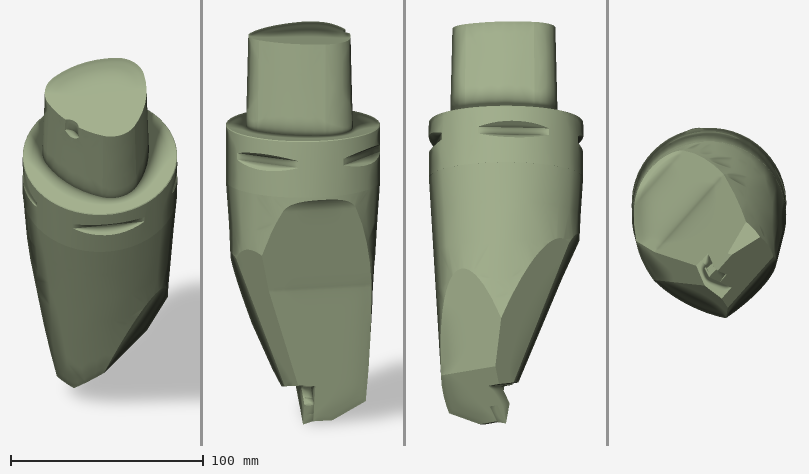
import cadquery as cq
import math


flange_diameter = 80.12
flange_height = 30.0
flange_chamfer = 0.4

slot_count = 4
slot_first_angle = 45.0
slot_depth_z = 12.4
slot_floor_distance = 35.5
slot_floor_width = 3.5
slot_flank_angle = 30.0
slot_overshoot = 1.0

shank_length = 48.0
shank_taper = math.degrees(math.atan(1 / 40))
lobe_tip = 30.0
lobe_radius = 15.45
side_distance = 25.15
lobe_angles = (90.0, 210.0, 330.0)

notch_radius = 5.7
notch_depth = 8.2
notch_inner_y = -21.75
notch_tip_height = notch_radius

tool_length = 160.0
head_top_diameter = 80.0
head_taper = 3.4
head_bottom_z = -158.4
cutter_radius = 12.0

relief_bend = (-17.8, -83.7)
upper_relief_angle = 19.9
lower_relief_angle = 12.9

flank_top = (37.0, -83.3)
flank_bend = (22.2, -134.8)

gullet_top = (38.3, -65.7)
gullet_bottom = (7.4, -143.3)
bevel_points = ((-25.5, 28.7, -62.0), (-5.4, 3.9, -137.9), (4.5, 8.5, -140.5))
ledge_start = (-5.4, -137.9)
ledge_angle = lower_relief_angle

underside_points = ((-3.1, -33.0, -148.6), (8.5, -33.0, -151.2), (-0.7, -15.6, -158.4))

insert_edge = 11.6
insert_thickness = 5.3
insert_left_angle = 15.0
insert_right_angle = 40.0
insert_clearance = 7.0
seat_opening_top = -140.7

recess_depth = 0.4
recess_top = -142.6
recess_bottom = -154.5
recess_rim = 0.9
recess_corner_chamfer = 0.5

cut_size = 200.0


def make_shank():
    lobe_centre = lobe_tip - lobe_radius
    reach = side_distance + lobe_radius
    side_centre = ((reach - 2 * lobe_radius) ** 2 - lobe_centre ** 2) / (
        lobe_centre - 2 * (reach - 2 * lobe_radius)
    )
    side_radius = side_distance + side_centre

    def polar(distance, angle):
        turn = math.radians(angle)
        return (distance * math.cos(turn), distance * math.sin(turn))

    def seam(lobe_angle, direction):
        centre = polar(lobe_centre, lobe_angle)
        far_centre = polar(side_centre, lobe_angle + direction * 60 + 180)
        gap = math.dist(centre, far_centre)
        return tuple(f + (c - f) * side_radius / gap for c, f in zip(centre, far_centre))

    outline = cq.Workplane("XY").moveTo(*seam(lobe_angles[0], -1))
    for angle in lobe_angles:
        outline = outline.threePointArc(polar(lobe_tip, angle), seam(angle, 1))
        outline = outline.threePointArc(polar(side_distance, angle + 60), seam(angle + 120, -1))
    shank = outline.close().extrude(shank_length, taper=shank_taper)

    notch_y = notch_inner_y - notch_radius
    notch_floor = shank_length - notch_depth
    notch = (
        cq.Workplane("XZ", origin=(0, notch_y, 0))
        .moveTo(0, shank_length)
        .lineTo(notch_radius, shank_length)
        .lineTo(notch_radius, notch_floor)
        .lineTo(0, notch_floor - notch_tip_height)
        .close()
        .revolve(360, (0, 0, 0), (0, 1, 0))
    )
    return shank.cut(notch)


def make_flange():
    flange = (
        cq.Workplane("XY")
        .circle(flange_diameter / 2)
        .extrude(-flange_height)
        .faces(">Z")
        .edges()
        .chamfer(flange_chamfer)
    )
    slot_height = flange_diameter / 2 - slot_floor_distance + slot_overshoot
    floor_half = slot_floor_width / 2
    mouth_half = floor_half + slot_height * math.tan(math.radians(slot_flank_angle))
    mouth = slot_floor_distance + slot_height
    for index in range(slot_count):
        slot = (
            cq.Workplane("XZ")
            .polyline([
                (slot_floor_distance, floor_half - slot_depth_z),
                (mouth, mouth_half - slot_depth_z),
                (mouth, -mouth_half - slot_depth_z),
                (slot_floor_distance, -floor_half - slot_depth_z),
            ])
            .close()
            .extrude(flange_diameter / 2, both=True)
            .rotate((0, 0, 0), (0, 0, 1), slot_first_angle + index * 360 / slot_count)
        )
        flange = flange.cut(slot)
    return flange


def half_space(points, outward):
    """Block on the side of the plane through three points that `outward` leans to."""
    first, second, third = (cq.Vector(*p) for p in points)
    normal = (second - first).cross(third - first)
    if normal.dot(cq.Vector(*outward)) < 0:
        normal = normal * -1
    plane = cq.Plane(origin=first, normal=normal)
    return cq.Workplane(plane).rect(2 * cut_size, 2 * cut_size).extrude(cut_size)


def prism_along_y(points, start_y, end_y):
    return (
        cq.Workplane("XZ", origin=(0, end_y, 0)).polyline(points).close().extrude(end_y - start_y)
    )


def relief_x(angle, z):
    """X of a -X relief flat, which leans from vertical through the bend."""
    return relief_bend[0] + (relief_bend[1] - z) * math.tan(math.radians(angle))


def make_relief():
    top = (relief_x(upper_relief_angle, -flange_height), -flange_height)
    bottom = (relief_x(lower_relief_angle, -tool_length), -tool_length)
    relief = prism_along_y(
        [(-cut_size, -flange_height), top, relief_bend, bottom, (-cut_size, -tool_length)],
        -cut_size / 2,
        cut_size / 2,
    )
    for x, z in (top, relief_bend):
        corner = cq.selectors.NearestToPointSelector((x, 0, z))
        relief = relief.edges("|Y").edges(corner).fillet(cutter_radius)
    return relief


def make_flank_cut():
    return prism_along_y(
        [flank_top, flank_bend, (0, -tool_length), (cut_size, -tool_length), (cut_size, flank_top[1])],
        -cut_size / 2,
        cut_size / 2,
    )


def make_gullet():
    ledge_drop = math.tan(math.radians(ledge_angle))

    def ledge_z(x):
        return ledge_start[1] - (x - ledge_start[0]) * ledge_drop

    below_ledge = prism_along_y(
        [
            (-cut_size, ledge_z(-cut_size)),
            (cut_size, ledge_z(cut_size)),
            (cut_size, -2 * cut_size),
            (-cut_size, -2 * cut_size),
        ],
        0,
        cut_size,
    )
    top = (0, *gullet_top)
    bottom = (0, *gullet_bottom)
    slope = half_space((top, bottom, (1, *gullet_bottom)), (0, 1, 0))
    bevel = half_space(bevel_points, (-1, 1, 0))
    return slope.union(bevel).union(below_ledge)


def make_head():
    head_height = -flange_height - head_bottom_z
    head = (
        cq.Workplane("XY", origin=(0, 0, -flange_height))
        .circle(head_top_diameter / 2)
        .extrude(-head_height, taper=head_taper)
    )
    head = head.cut(make_relief()).cut(make_flank_cut()).cut(make_gullet())
    return head.cut(half_space(underside_points, (0, 0, -1)))


def insert_corners():
    """Tip, left, far and right corners of the rake face, as (x, z)."""
    left = math.radians(insert_left_angle)
    right = math.radians(insert_right_angle)
    left_step = (-insert_edge * math.sin(left), insert_edge * math.cos(left))
    right_step = (insert_edge * math.sin(right), insert_edge * math.cos(right))
    tip = (0, -tool_length)
    left_corner = (left_step[0], tip[1] + left_step[1])
    right_corner = (right_step[0], tip[1] + right_step[1])
    far_corner = (left_corner[0] + right_step[0], left_corner[1] + right_step[1])
    return tip, left_corner, far_corner, right_corner


def make_insert_blank(inset):
    rake_face = cq.Workplane("XZ").polyline(insert_corners()).close()
    if inset > 0:
        rake_face = rake_face.offset2D(-inset)
    return rake_face.extrude(insert_thickness, taper=insert_clearance)


def make_insert():
    core = make_insert_blank(recess_depth).edges("<X").chamfer(recess_corner_chamfer)
    recess = prism_along_y(
        [
            (-insert_edge, recess_bottom),
            (0, recess_bottom),
            (0, recess_top),
            (-insert_edge, recess_top),
        ],
        -insert_thickness,
        -recess_rim,
    ).cut(core)
    return make_insert_blank(0).cut(recess)


def make_seat():
    """Space the insert needs in the head, opened to the outside below and towards -X."""
    _, left_corner, far_corner, right_corner = insert_corners()
    along = (seat_opening_top - left_corner[1]) / (far_corner[1] - left_corner[1])
    inner = (left_corner[0] + along * (far_corner[0] - left_corner[0]), seat_opening_top)
    exit_rise = cut_size * math.tan(math.radians(ledge_angle))
    centre = ((left_corner[0] + right_corner[0]) / 2, (left_corner[1] + right_corner[1]) / 2)
    opening = prism_along_y(
        [
            (-cut_size, -cut_size),
            (inner[0] - cut_size, inner[1] + exit_rise),
            inner,
            centre,
            right_corner,
            (right_corner[0], -cut_size),
        ],
        -insert_thickness,
        0,
    )
    return make_insert_blank(0).union(opening)


insert = make_insert()
holder = make_flange().union(make_shank()).union(make_head()).cut(make_seat())

result = cq.Compound.makeCompound([holder.solids().val(), insert.solids().val()])